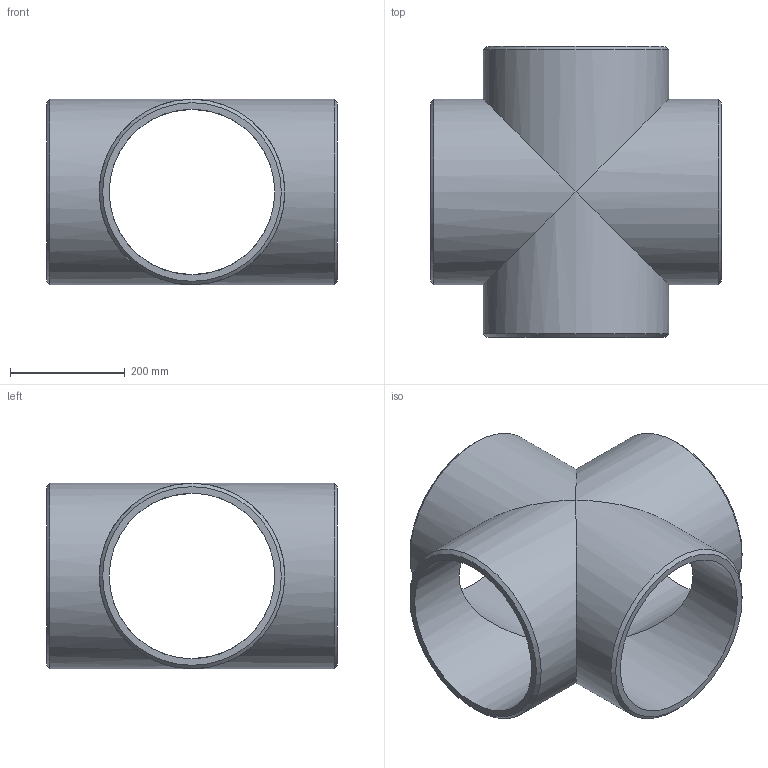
import cadquery as cq

outer_diameter = 323.9
wall_thickness = 17.5
overall_length = 508.0
end_bevel = 6.0

bore_diameter = outer_diameter - 2 * wall_thickness

pipe_planes = ("YZ", "XZ")


def round_bar(plane, diameter):
    """Round bar of full length, centred on the origin along the plane's normal."""
    return cq.Workplane(plane).circle(diameter / 2).extrude(overall_length / 2, both=True)


def beveled_bar(plane):
    """Solid envelope of one pipe, with the outer rim beveled at both ends."""
    return round_bar(plane, outer_diameter).edges("%CIRCLE").chamfer(end_bevel)


def make_cross():
    """Join the pipe envelopes first, so that each bore also opens up the other pipe."""
    cross = cq.Workplane("XY")
    for plane in pipe_planes:
        cross = cross.add(beveled_bar(plane))
    cross = cross.combine()
    for plane in pipe_planes:
        cross = cross.cut(round_bar(plane, bore_diameter))
    return cross


result = make_cross()